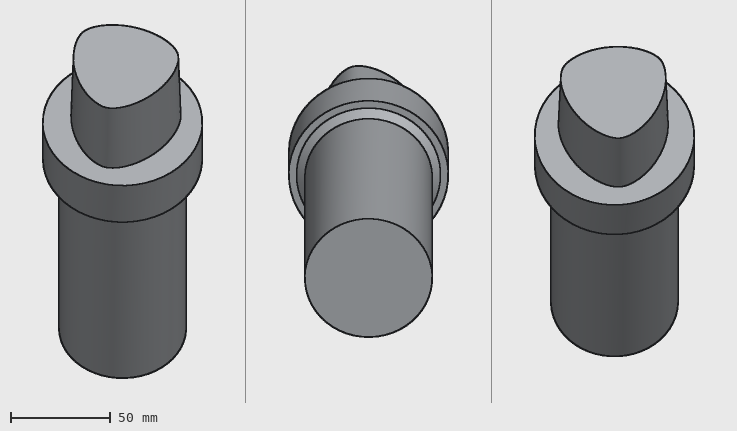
import cadquery as cq
import math

total_height = 217.0
shank_diameter = 64.0
flange_diameter = 80.0
neck_start = 135.0
neck_height = 4.1
flange_top = 169.3
polygon_base_width = 55.1
polygon_lobe = 2.2
polygon_taper = 1 / 20
lobe_count = 3
samples = 48

flange_bottom = neck_start + neck_height
polygon_height = total_height - flange_top
polygon_top_width = polygon_base_width - polygon_taper * polygon_height


def lobed_outline(width, height):
    """Closed constant-width curve at a given height, with one lobe toward -Y."""
    def point(turn):
        angle = 2 * math.pi * turn - math.pi / 2
        phase = lobe_count * 2 * math.pi * turn
        support = width / 2 + polygon_lobe * math.cos(phase)
        slope = -lobe_count * polygon_lobe * math.sin(phase)
        return (
            support * math.cos(angle) - slope * math.sin(angle),
            support * math.sin(angle) + slope * math.cos(angle),
        )

    points = [point(index / samples) for index in range(samples)]
    edge = cq.Edge.makeSpline([cq.Vector(x, y, height) for x, y in points], periodic=True)
    return cq.Wire.assembleEdges([edge])


shank_radius = shank_diameter / 2
flange_radius = flange_diameter / 2
neck_radius = shank_radius + neck_height
body = (
    cq.Workplane("XZ")
    .polyline([
        (0, 0),
        (shank_radius, 0),
        (shank_radius, neck_start),
        (neck_radius, flange_bottom),
        (flange_radius, flange_bottom),
        (flange_radius, flange_top),
        (0, flange_top),
    ])
    .close()
    .revolve(360, (0, 0, 0), (0, 1, 0))
)

coupling = cq.Solid.makeLoft(
    [
        lobed_outline(polygon_base_width, flange_top),
        lobed_outline(polygon_top_width, total_height),
    ],
    True,
)

result = body.union(cq.Workplane(coupling))